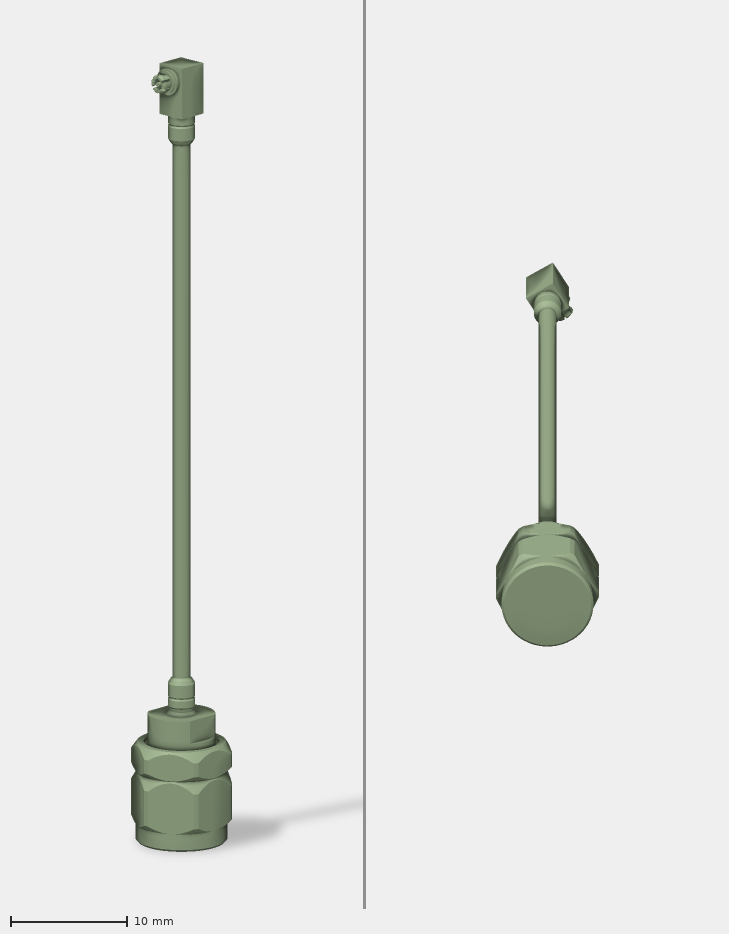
import cadquery as cq
import math

TOTAL_HEIGHT = 69.3

NUT_ACROSS_FLATS = 7.9
NUT_CORNER_RADIUS = 4.4
NUT_TOP = 8.9
NUT_TOP_RADIUS = 3.8
NUT_WAIST_RADIUS = 3.9
UPPER_HEX_CORNER_TOP = 8.05
UPPER_HEX_CORNER_BOTTOM = 6.8
NUT_WAIST = 6.25
LOWER_HEX_CORNER_TOP = 5.3
LOWER_HEX_CORNER_BOTTOM = 2.15
COLLAR_TOP = 1.6
COLLAR_CHAMFER = 0.2
NUT_RECESS_RADIUS = 3.25
NUT_RECESS_DEPTH = 0.35

SHANK_RADIUS = 2.9
SHANK_TOP = 11.35
FLATS_BOTTOM = 9.35
ACROSS_FLATS = 4.9
NECK_TOP = 11.9
NECK_RADIUS = 1.05
NECK_FOOT_RADIUS = 1.3
NECK_FOOT_HEIGHT = 0.3

FERRULE_LENGTH = 5.35
FERRULE_RADIUS = 1.2
FERRULE_END_CHAMFER = 0.15
FERRULE_RING_LENGTH = 0.75
GROOVE_WIDTH = 0.3
GROOVE_DEPTH = 0.105
CRIMP_CHAMFER_START = 2.15
CRIMP_CHAMFER_END = 2.5
CRIMP_CHAMFER_RADIUS = 1.0
CRIMP_LENGTH = 2.7
CABLE_RADIUS = 0.75

BLOCK_WIDTH = 2.7
BLOCK_HEIGHT = 4.5

PLUG_BELOW_TOP = 1.3
PLUG_BASE_RADIUS = 1.05
PLUG_BASE_LENGTH = 0.35
PLUG_FLANGE_RADIUS = 1.2
PLUG_FLANGE_END = 0.5
PLUG_SHOULDER_RADIUS = 1.0
PLUG_SHOULDER_END = 0.6
PLUG_LENGTH = 1.65
PLUG_NECK_RADIUS = 0.7
PLUG_LIP_RADIUS = 0.8
PLUG_LIP_LENGTH = 0.4
PLUG_LIP_CHAMFER = 0.15
PLUG_BORE_RADIUS = 0.5
PLUG_PIN_RADIUS = 0.2
PLUG_SLOT_WIDTH = 0.2
PLUG_SLOT_COUNT = 6

BLOCK_BOTTOM = TOTAL_HEIGHT - BLOCK_HEIGHT
LOWER_CABLE_END = NECK_TOP + FERRULE_LENGTH
UPPER_CABLE_END = BLOCK_BOTTOM - FERRULE_LENGTH


def revolved(profile):
    """Turn a (radius, height) outline around the Z axis."""
    return cq.Workplane("XZ").polyline(profile).close().revolve(360, (0, 0, 0), (0, 1, 0))


def cylinder(radius, bottom, top):
    return cq.Workplane("XY").workplane(offset=bottom).circle(radius).extrude(top - bottom)


def make_nut():
    collar_radius = NUT_ACROSS_FLATS / 2
    envelope = revolved([
        (0, 0),
        (collar_radius - COLLAR_CHAMFER, 0),
        (collar_radius, COLLAR_CHAMFER),
        (collar_radius, COLLAR_TOP),
        (NUT_CORNER_RADIUS, LOWER_HEX_CORNER_BOTTOM),
        (NUT_CORNER_RADIUS, LOWER_HEX_CORNER_TOP),
        (NUT_WAIST_RADIUS, NUT_WAIST),
        (NUT_CORNER_RADIUS, UPPER_HEX_CORNER_BOTTOM),
        (NUT_CORNER_RADIUS, UPPER_HEX_CORNER_TOP),
        (NUT_TOP_RADIUS, NUT_TOP),
        (0, NUT_TOP),
    ])
    across_corners = NUT_ACROSS_FLATS / math.cos(math.radians(30))
    hexagon = cq.Workplane("XY").polygon(6, across_corners).extrude(NUT_TOP)
    hexagon = hexagon.rotate((0, 0, 0), (0, 0, 1), 30)
    bore = cylinder(SHANK_RADIUS, 0, NUT_TOP)
    recess = cylinder(NUT_RECESS_RADIUS, NUT_TOP - NUT_RECESS_DEPTH, NUT_TOP)
    return envelope.intersect(hexagon).cut(bore).cut(recess)


def make_connector():
    shank = cylinder(SHANK_RADIUS, 0, FLATS_BOTTOM)
    wrench_height = SHANK_TOP - FLATS_BOTTOM
    slab = (
        cq.Workplane("XY")
        .workplane(offset=FLATS_BOTTOM)
        .rect(ACROSS_FLATS, 2 * SHANK_RADIUS)
        .extrude(wrench_height)
    )
    wrench_section = cylinder(SHANK_RADIUS, FLATS_BOTTOM, SHANK_TOP).intersect(slab)
    neck = revolved([
        (0, SHANK_TOP),
        (NECK_FOOT_RADIUS, SHANK_TOP),
        (NECK_RADIUS, SHANK_TOP + NECK_FOOT_HEIGHT),
        (NECK_RADIUS, NECK_TOP),
        (0, NECK_TOP),
    ])
    return shank.union(wrench_section).union(neck)


def make_ferrule():
    """A grooved crimp barrel with a cable-sized tail, standing on its connector end."""
    groove_middle = FERRULE_RING_LENGTH + GROOVE_WIDTH / 2
    groove_end = FERRULE_RING_LENGTH + GROOVE_WIDTH
    return revolved([
        (0, 0),
        (FERRULE_RADIUS - FERRULE_END_CHAMFER, 0),
        (FERRULE_RADIUS, FERRULE_END_CHAMFER),
        (FERRULE_RADIUS, FERRULE_RING_LENGTH),
        (FERRULE_RADIUS - GROOVE_DEPTH, groove_middle),
        (FERRULE_RADIUS, groove_end),
        (FERRULE_RADIUS, CRIMP_CHAMFER_START),
        (CRIMP_CHAMFER_RADIUS, CRIMP_CHAMFER_END),
        (CABLE_RADIUS, CRIMP_LENGTH),
        (CABLE_RADIUS, FERRULE_LENGTH),
        (0, FERRULE_LENGTH),
    ])


def make_cable():
    return cylinder(CABLE_RADIUS, LOWER_CABLE_END, UPPER_CABLE_END)


def make_block():
    return (
        cq.Workplane("XY")
        .workplane(offset=BLOCK_BOTTOM)
        .rect(BLOCK_WIDTH, BLOCK_WIDTH)
        .extrude(BLOCK_HEIGHT)
    )


def make_plug():
    """A slotted snap socket around a pin, pointing along -Y from the block."""
    lip_start = PLUG_LENGTH - PLUG_LIP_LENGTH
    plug = revolved([
        (0, 0),
        (PLUG_BASE_RADIUS, 0),
        (PLUG_BASE_RADIUS, PLUG_BASE_LENGTH),
        (PLUG_FLANGE_RADIUS, PLUG_BASE_LENGTH),
        (PLUG_FLANGE_RADIUS, PLUG_FLANGE_END),
        (PLUG_SHOULDER_RADIUS, PLUG_FLANGE_END),
        (PLUG_SHOULDER_RADIUS, PLUG_SHOULDER_END),
        (PLUG_NECK_RADIUS, PLUG_SHOULDER_END),
        (PLUG_NECK_RADIUS, lip_start),
        (PLUG_LIP_RADIUS, lip_start),
        (PLUG_LIP_RADIUS, PLUG_LENGTH - PLUG_LIP_CHAMFER),
        (PLUG_LIP_RADIUS - PLUG_LIP_CHAMFER, PLUG_LENGTH),
        (0, PLUG_LENGTH),
    ])
    plug = plug.cut(cylinder(PLUG_BORE_RADIUS, PLUG_SHOULDER_END, PLUG_LENGTH))
    slot = (
        cq.Workplane("XY")
        .workplane(offset=PLUG_SHOULDER_END)
        .center(PLUG_LIP_RADIUS, 0)
        .rect(2 * PLUG_LIP_RADIUS, PLUG_SLOT_WIDTH)
        .extrude(PLUG_LENGTH - PLUG_SHOULDER_END)
    )
    for index in range(PLUG_SLOT_COUNT):
        slot_angle = 90 + index * 360 / PLUG_SLOT_COUNT
        plug = plug.cut(slot.rotate((0, 0, 0), (0, 0, 1), slot_angle))
    plug = plug.union(cylinder(PLUG_PIN_RADIUS, PLUG_SHOULDER_END, PLUG_LENGTH))
    plug = plug.rotate((0, 0, 0), (1, 0, 0), 90)
    return plug.translate((0, -BLOCK_WIDTH / 2, TOTAL_HEIGHT - PLUG_BELOW_TOP))


nut = make_nut()
connector = make_connector()
cable = make_cable()
block = make_block()
plug = make_plug()

ferrules = []
for end_height, flip in ((NECK_TOP, 0), (BLOCK_BOTTOM, 180)):
    ferrule = make_ferrule().rotate((0, 0, 0), (1, 0, 0), flip)
    ferrules.append(ferrule.translate((0, 0, end_height)).val())

result = cq.Compound.makeCompound(
    [nut.val(), connector.val(), *ferrules, cable.val(), block.val(), plug.val()]
)